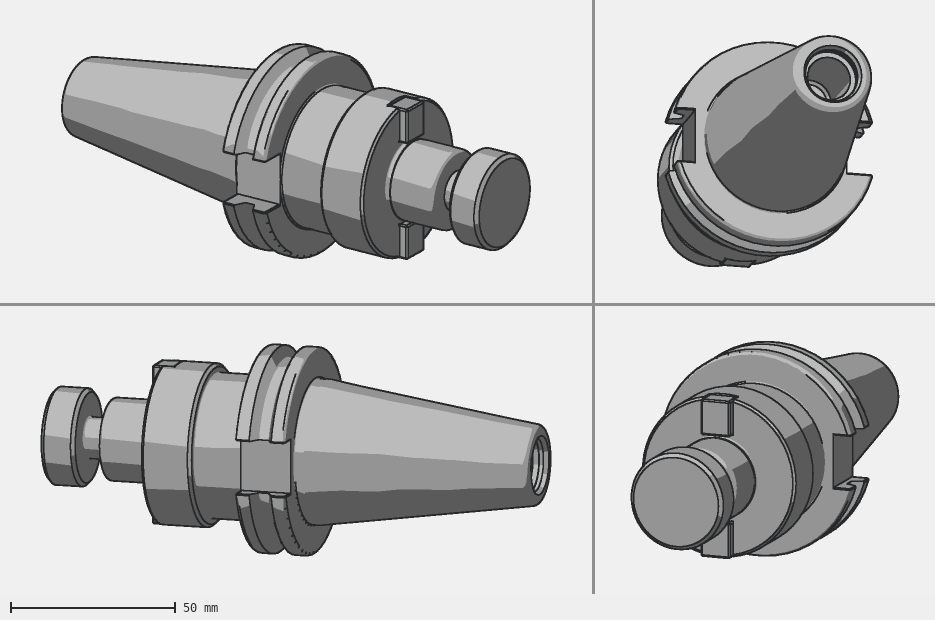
import cadquery as cq
import math


gauge_diameter = 44.45
taper_ratio = 7 / 24
taper_length = 68.25
shank_end_x = -taper_length
shank_end_round = 2.0
shank_end_diameter = gauge_diameter - taper_ratio * taper_length

mouth_diameter = 18.0
counterbore_diameter = 16.3
counterbore_depth = 4.9
undercut_diameter = 16.8
undercut_start_depth = 2.9
mouth_chamfer_angle = 30
mouth_chamfer_height = (mouth_diameter - counterbore_diameter) / 2
mouth_chamfer_depth = mouth_chamfer_height / math.tan(math.radians(mouth_chamfer_angle))
thread_diameter = 13.39
thread_depth = 30.0
bore_floor_diameter = 11.33
bore_floor_chamfer = (thread_diameter - bore_floor_diameter) / 2

flange_diameter = 63.5
flange_start_x = 3.18
flange_width = 15.88
flange_end_x = flange_start_x + flange_width
flange_edge_round = 1.0
root_fillet = 0.5
groove_center_x = 11.1
groove_top_width = 7.0
groove_bottom_width = 3.2
groove_bottom_diameter = 56.36
groove_root_round = 0.5
cutter_clearance = 1.0
slot_width = 16.38
slot_bevel = 0.381
slot_floor_front = 22.4
slot_floor_back = 25.0

neck_diameter = gauge_diameter
head_diameter = 50.0
head_start_x = 35.0
head_end_x = 50.8
head_back_chamfer = 1.0
head_face_chamfer = 0.75
pilot_diameter = 25.4
pilot_relief_diameter = 24.9
pilot_start_x = 52.6
pilot_end_x = 68.25
pilot_end_round = 1.5

key_width = 9.5
key_start_x = 46.35
key_end_x = 53.6
key_inner_z = 13.4
key_outer_z = 24.5
key_chamfer = 0.5

overall_length = 154.25
screw_head_diameter = 30.0
screw_head_start_x = 75.2
screw_end_x = shank_end_x + overall_length
screw_head_chamfer = 1.15
screw_neck_fillet = 0.9
screw_shank_diameter = 12.7
screw_hole_depth = 25.0
screw_start_x = pilot_end_x - screw_hole_depth


def revolve_about_x(outline):
    """Turn an outline of (x, radius) points about the X axis."""
    return outline.close().revolve(360, (0, 0, 0), (1, 0, 0))


def cylinder(start_x, end_x, diameter):
    return cq.Workplane("YZ", origin=(start_x, 0, 0)).circle(diameter / 2).extrude(end_x - start_x)


def block(start_x, end_x, start_y, end_y, start_z, end_z):
    size = (end_x - start_x, end_y - start_y, end_z - start_z)
    return cq.Workplane("XY").box(*size, centered=False).translate((start_x, start_y, start_z))


def make_root_fillet(face_x, direction, diameter, fillet_radius):
    """Concave ring between a cylinder and a flat face; direction is the side of the face it lies on."""
    foot = diameter / 2
    top = foot + fillet_radius
    diagonal = fillet_radius * math.sqrt(0.5)
    middle_x = face_x + direction * (fillet_radius - diagonal)
    return revolve_about_x(
        cq.Workplane("XY")
        .moveTo(face_x, foot)
        .lineTo(face_x, top)
        .threePointArc((middle_x, top - diagonal), (face_x + direction * fillet_radius, foot))
    )


def make_shank():
    cone = revolve_about_x(
        cq.Workplane("XY")
        .moveTo(shank_end_x, 0)
        .lineTo(shank_end_x, shank_end_diameter / 2)
        .lineTo(0, gauge_diameter / 2)
        .lineTo(0, 0)
    )
    cone = cone.faces("<X").edges().fillet(shank_end_round)
    return cone.union(cylinder(0, flange_start_x, gauge_diameter))


def make_bore():
    counterbore_end_x = shank_end_x + counterbore_depth
    thread_end_x = shank_end_x + thread_depth
    undercut_start_x = shank_end_x + undercut_start_depth
    return revolve_about_x(
        cq.Workplane("XY")
        .moveTo(shank_end_x, 0)
        .lineTo(shank_end_x, mouth_diameter / 2)
        .lineTo(shank_end_x + mouth_chamfer_depth, counterbore_diameter / 2)
        .lineTo(undercut_start_x, counterbore_diameter / 2)
        .lineTo(undercut_start_x, undercut_diameter / 2)
        .lineTo(counterbore_end_x, undercut_diameter / 2)
        .lineTo(counterbore_end_x, thread_diameter / 2)
        .lineTo(thread_end_x - bore_floor_chamfer, thread_diameter / 2)
        .lineTo(thread_end_x, bore_floor_diameter / 2)
        .lineTo(thread_end_x, 0)
    )


def make_slot_cutters():
    """Two boxes for the drive slots, long enough to clear the root fillets beside the flange too."""
    span_x = (flange_start_x - root_fillet, flange_end_x + root_fillet)
    span_z = (-slot_width / 2, slot_width / 2)
    front_slot = block(*span_x, -flange_diameter, -slot_floor_front, *span_z)
    back_slot = block(*span_x, slot_floor_back, flange_diameter, *span_z)
    return front_slot, back_slot


def make_groove_cutter():
    outer_diameter = flange_diameter + cutter_clearance
    flank_slope = (groove_top_width - groove_bottom_width) / (flange_diameter - groove_bottom_diameter)
    outer_width = groove_bottom_width + flank_slope * (outer_diameter - groove_bottom_diameter)
    cutter = revolve_about_x(
        cq.Workplane("XY")
        .moveTo(groove_center_x - outer_width / 2, outer_diameter / 2)
        .lineTo(groove_center_x - groove_bottom_width / 2, groove_bottom_diameter / 2)
        .lineTo(groove_center_x + groove_bottom_width / 2, groove_bottom_diameter / 2)
        .lineTo(groove_center_x + outer_width / 2, outer_diameter / 2)
    )
    smallest_circles = cq.selectors.RadiusNthSelector(0)
    return cutter.edges("%CIRCLE").edges(smallest_circles).fillet(groove_root_round)


def is_on_slot_floor(edge):
    floor_distance = min(abs(edge.Center().y + slot_floor_front), abs(edge.Center().y - slot_floor_back))
    return floor_distance < slot_bevel


def make_flange():
    flange = cylinder(flange_start_x, flange_end_x, flange_diameter).edges().fillet(flange_edge_round)
    for slot in make_slot_cutters():
        flange = flange.cut(slot)
    wall_edges = [
        edge
        for wall in flange.faces("+Z or -Z").faces("%PLANE").vals()
        for edge in wall.Edges()
        if not is_on_slot_floor(edge)
    ]
    flange = flange.newObject(wall_edges).chamfer(slot_bevel)
    return flange.cut(make_groove_cutter())


def make_head():
    neck = cylinder(flange_end_x, head_start_x, neck_diameter)
    head = cylinder(head_start_x, head_end_x, head_diameter)
    head = head.faces("<X").edges().chamfer(head_back_chamfer)
    head = head.faces(">X").edges().chamfer(head_face_chamfer)
    return neck.union(head)


def make_pilot():
    relief = cylinder(head_end_x, pilot_start_x, pilot_relief_diameter)
    pilot = cylinder(pilot_start_x, pilot_end_x, pilot_diameter)
    pilot = pilot.faces(">X").edges().fillet(pilot_end_round)
    return relief.union(pilot)


def make_key(turn):
    key = block(key_start_x, key_end_x, -key_width / 2, key_width / 2, key_inner_z, key_outer_z)
    key = key.edges().chamfer(key_chamfer)
    return key.rotate((0, 0, 0), (1, 0, 0), turn)


def make_key_pocket(turn):
    pocket = block(key_start_x, key_end_x, -key_width / 2, key_width / 2, key_inner_z, head_diameter)
    return pocket.rotate((0, 0, 0), (1, 0, 0), turn)


def make_screw():
    shank = cylinder(screw_start_x, screw_head_start_x, screw_shank_diameter)
    head = cylinder(screw_head_start_x, screw_end_x, screw_head_diameter)
    head = head.edges().chamfer(screw_head_chamfer)
    neck_ring = make_root_fillet(screw_head_start_x, -1, screw_shank_diameter, screw_neck_fillet)
    return shank.union(head).union(neck_ring)


key_turns = (0, 180)

root_fillets = [
    make_root_fillet(flange_start_x, -1, gauge_diameter, root_fillet),
    make_root_fillet(flange_end_x, 1, neck_diameter, root_fillet),
    make_root_fillet(head_start_x, -1, neck_diameter, root_fillet),
    make_root_fillet(head_end_x, 1, pilot_relief_diameter, root_fillet),
]

holder = make_shank().union(make_flange()).union(make_head()).union(make_pilot())
for ring in root_fillets:
    holder = holder.union(ring)
for slot in make_slot_cutters():
    holder = holder.cut(slot)
for turn in key_turns:
    holder = holder.cut(make_key_pocket(turn))
holder = holder.cut(make_bore())
holder = holder.cut(cylinder(screw_start_x, pilot_end_x, screw_shank_diameter))

keys = [make_key(turn) for turn in key_turns]
screw = make_screw()

result = cq.Compound.makeCompound([holder.val(), *[key.val() for key in keys], screw.val()])